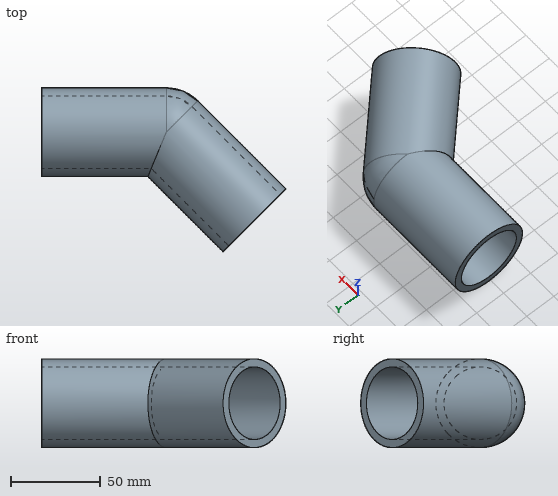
import cadquery as cq
import math

overall_length = 137.2
outer_diameter = 50.0
inner_diameter = 40.7
bend_angle = 45.0

outer_radius = outer_diameter / 2
inner_radius = inner_diameter / 2

bend_cos = math.cos(math.radians(bend_angle))
bend_sin = math.sin(math.radians(bend_angle))
leg_length = (overall_length - outer_radius * bend_sin) / (1 + bend_cos)

bend_center = cq.Vector(leg_length, 0, 0)
inlet_direction = cq.Vector(-1, 0, 0)
outlet_direction = cq.Vector(bend_cos, -bend_sin, 0)


def bent_rod(radius):
    """Two round legs meeting at a ball of the same radius."""
    rod = cq.Workplane("XY").sphere(radius).translate(bend_center)
    for direction in (inlet_direction, outlet_direction):
        leg = cq.Solid.makeCylinder(radius, leg_length, bend_center, direction)
        rod = rod.union(cq.Workplane(obj=leg))
    return rod


result = bent_rod(outer_radius).cut(bent_rod(inner_radius))